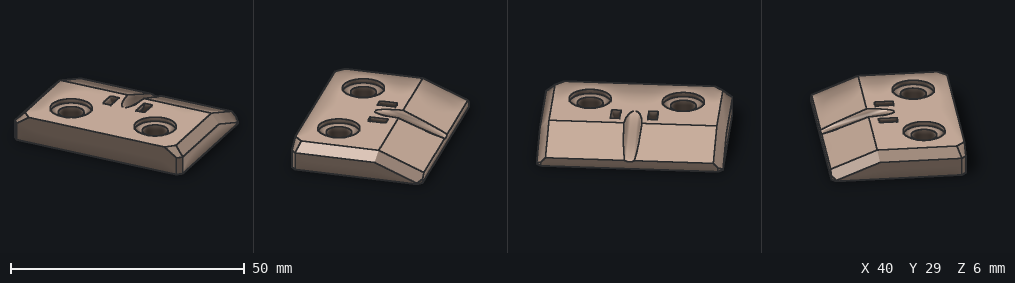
import cadquery as cq
import math

length = 40
depth = 29.0
height = 6
ramp_run = 10
ramp_drop = 4
ramp_start_y = depth - ramp_run
ramp_angle = math.atan2(ramp_drop, ramp_run)
top_chamfer = 2
corner_chamfer = 1.0

hole_diameter = 5.5
counterbore_diameter = 9.0
counterbore_depth = 1.0
hole_spacing = 20
hole_y = 8

groove_radius = 2
groove_tip_y = 13.25
groove_angle = 15.3

tie_width = 4
tie_center_y = 15.0
tie_inner_radius = 3.0
tie_outer_radius = 5.0
tie_corner_radius = 0.4


def cut_beyond(body, point, normal):
    """Remove everything on the side of a plane that its normal points to."""
    plane = cq.Plane(origin=point, normal=normal)
    return body.cut(cq.Workplane(plane).rect(4 * length, 4 * length).extrude(length))


def make_block():
    """Side profile with a ramp falling to the rear, extruded along X."""
    return (
        cq.Workplane("YZ")
        .polyline([
            (0, 0),
            (depth, 0),
            (depth, height - ramp_drop),
            (ramp_start_y, height),
            (0, height),
        ])
        .close()
        .extrude(length / 2, both=True)
    )


def chamfer_end(body, side):
    """Chamfer one end of the block; side is -1 for the -X end, 1 for the +X end."""
    end_x = side * length / 2
    inset_x = side * (length / 2 - top_chamfer)

    body = cut_beyond(body, (end_x, corner_chamfer, 0), (side, -1, 0))
    body = cut_beyond(body, (end_x, depth - corner_chamfer, 0), (side, 1, 0))

    body = cut_beyond(body, (inset_x, ramp_start_y, height), (side, 0, 1))
    ramp_normal = (side, math.sin(ramp_angle), math.cos(ramp_angle))
    body = cut_beyond(body, (inset_x, ramp_start_y, height), ramp_normal)

    diagonal = math.sqrt(0.5)
    corner_point = (end_x, corner_chamfer, height - top_chamfer)
    return cut_beyond(body, corner_point, (side * diagonal, -diagonal, 1))


def make_plate():
    plate = make_block()
    for side in (-1, 1):
        plate = chamfer_end(plate, side)
    return plate


def cut_screw_holes(plate):
    return (
        plate.faces(">Z")
        .workplane(origin=(0, hole_y, height))
        .rarray(hole_spacing, 0.4, 2, 1)
        .cboreHole(hole_diameter, counterbore_diameter, counterbore_depth)
    )


def make_groove():
    """Cylinder whose lowest line starts at the groove tip and falls to the rear."""
    angle = math.radians(groove_angle)
    direction = cq.Vector(0, math.cos(angle), -math.sin(angle))
    upward = cq.Vector(0, math.sin(angle), math.cos(angle))
    tip = cq.Vector(0, groove_tip_y, height)
    start = tip + upward * groove_radius - direction * depth
    return cq.Solid.makeCylinder(groove_radius, 2 * depth, start, direction)


def make_tie_tunnel():
    """Ring about an axis along Y in the top face, with rounded outer edges."""
    base = cq.Workplane("XZ", origin=(0, tie_center_y + tie_width / 2, height))
    core = base.circle(tie_inner_radius).extrude(tie_width)
    return base.circle(tie_outer_radius).extrude(tie_width).edges("%CIRCLE").fillet(tie_corner_radius).cut(core)


result = cut_screw_holes(make_plate())
result = result.cut(make_tie_tunnel())
result = result.cut(cq.Workplane(make_groove()))